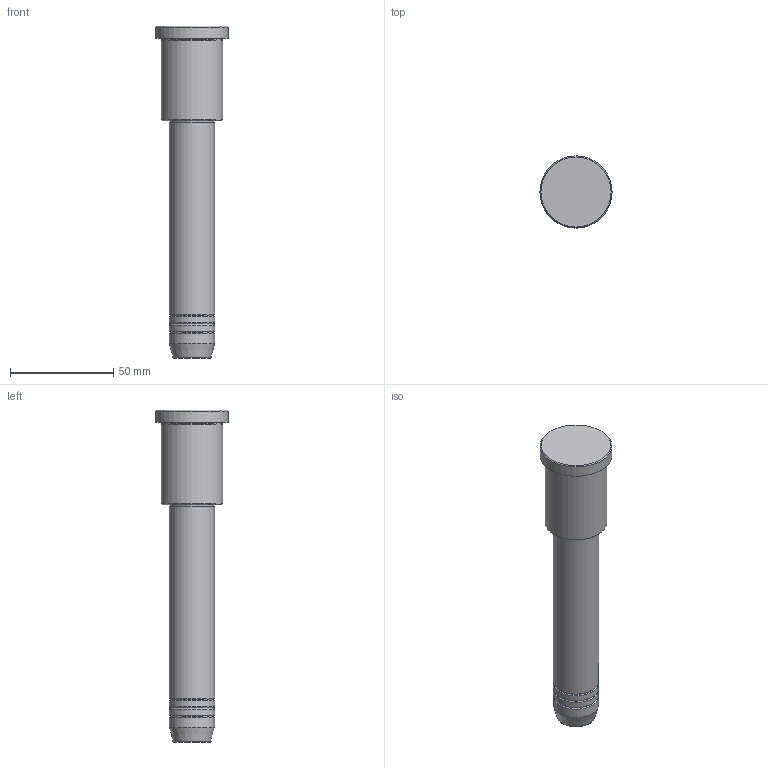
import cadquery as cq
import math

total_length = 161.0
head_diameter = 35.0
head_height = 6.0
head_chamfer = 0.5
body_diameter = 30.0
body_length = 40.0
body_chamfer = 0.5
shank_diameter = 22.0

neck_diameter = 21.0
neck_length = 1.0

tip_length = 7.0
tip_angle = 15.0
tip_fillet = 0.5

groove_radius = 0.5
groove_count = 3
groove_pitch = 4.0
lowest_groove_height = 12.5

head_radius = head_diameter / 2
body_radius = body_diameter / 2
neck_radius = neck_diameter / 2
shank_radius = shank_diameter / 2
tip_radius = shank_radius - tip_length * math.tan(math.radians(tip_angle))
head_bottom_z = total_length - head_height
body_bottom_z = head_bottom_z - body_length
shank_top_z = body_bottom_z - neck_length


def make_pin():
    """Revolve the stepped half-outline of the pin; X is the radius and Y the height."""
    outline = (
        cq.Workplane("XZ")
        .moveTo(0, 0)
        .lineTo(-tip_radius, 0)
        .lineTo(-shank_radius, tip_length)
        .lineTo(-shank_radius, shank_top_z)
        .lineTo(-neck_radius, shank_top_z)
        .lineTo(-neck_radius, body_bottom_z)
        .lineTo(-(body_radius - body_chamfer), body_bottom_z)
        .lineTo(-body_radius, body_bottom_z + body_chamfer)
        .lineTo(-body_radius, head_bottom_z)
        .lineTo(-head_radius, head_bottom_z)
        .lineTo(-head_radius, total_length - head_chamfer)
        .lineTo(-(head_radius - head_chamfer), total_length)
        .lineTo(0, total_length)
        .close()
    )
    pin = outline.revolve(360, (0, 0, 0), (0, 1, 0))
    return pin.faces("<Z").edges().fillet(tip_fillet)


def make_groove_cutter(surface_radius, center_z):
    """Ring of circular section whose inner half bites into a cylinder of the given radius."""
    section = cq.Workplane("XZ").center(-surface_radius, center_z).circle(groove_radius)
    return section.revolve(360, (surface_radius, 0, 0), (surface_radius, 1, 0))


def make_head_relief_cutter():
    """Half ring that bites into the body only, directly below the head."""
    center_z = head_bottom_z - groove_radius
    return make_groove_cutter(body_radius, center_z)


result = make_pin().cut(make_head_relief_cutter())
for index in range(groove_count):
    groove_z = lowest_groove_height + index * groove_pitch
    result = result.cut(make_groove_cutter(shank_radius, groove_z))